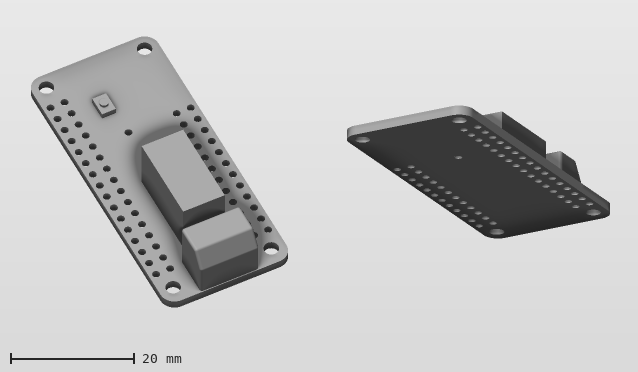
import cadquery as cq

BOARD_LENGTH = 51.2
BOARD_WIDTH = 22.8
BOARD_THICKNESS = 1.6
CORNER_RADIUS = 2.5
TOTAL_HEIGHT = 11.0

MOUNT_DIAMETER = 2.5
MOUNT_SPACING_X = 45.7
MOUNT_LEFT_X = CORNER_RADIUS - BOARD_LENGTH / 2
MOUNT_Y = BOARD_WIDTH / 2 - CORNER_RADIUS

PIN_DIAMETER = 1.3
PIN_COLUMNS_FRONT = 16
PIN_COLUMNS_BACK = 12
PIN_ROW_LENGTH = 38.1
PIN_PITCH = PIN_ROW_LENGTH / (PIN_COLUMNS_FRONT - 1)
PIN_FIRST_X = -19.1
PIN_OUTER_Y = 10.15
PIN_INNER_Y = PIN_OUTER_Y - PIN_PITCH
FIRST_BACK_COLUMN = PIN_COLUMNS_FRONT - PIN_COLUMNS_BACK
LONE_HOLE_Y = -1.15

RELAY_LENGTH = 15.0
RELAY_WIDTH = 7.55
RELAY_HEIGHT = TOTAL_HEIGHT - BOARD_THICKNESS
RELAY_CENTER_X = 8.55

TERMINAL_LEFT_X = 18.35
TERMINAL_DEPTH = 7.1
TERMINAL_WIDTH = 10.6
TERMINAL_HEIGHT = 8.5
SLOPE_RUN = 2.05
SLOPE_DROP = 3.0
TERMINAL_FILLET = 0.5

BUTTON_LENGTH = 3.6
BUTTON_WIDTH = 2.5
BUTTON_HEIGHT = 1.1
BUTTON_X = -15.2
BUTTON_Y = -2.4
PLUNGER_DIAMETER = 1.5
PLUNGER_HEIGHT = 0.45


def block_on_board(length, width, height, x, y):
    """Plain block standing on the board, centred on (x, y)."""
    return (
        cq.Workplane("XY", origin=(x, y, BOARD_THICKNESS))
        .box(length, width, height, centered=(True, True, False))
    )


def pin_hole_points():
    """Centres of every pin hole, plus the single one between the rows."""
    points = []
    for column in range(PIN_COLUMNS_FRONT):
        x = PIN_FIRST_X + column * PIN_PITCH
        for y in (PIN_OUTER_Y, PIN_INNER_Y):
            points.append((x, -y))
            if column >= FIRST_BACK_COLUMN:
                points.append((x, y))
    points.append((PIN_FIRST_X + FIRST_BACK_COLUMN * PIN_PITCH, LONE_HOLE_Y))
    return points


def make_board():
    """Rounded board with its mounting holes and pin holes cut through."""
    mount_points = [
        (x, y)
        for x in (MOUNT_LEFT_X, MOUNT_LEFT_X + MOUNT_SPACING_X)
        for y in (-MOUNT_Y, MOUNT_Y)
    ]
    blank = (
        cq.Workplane("XY")
        .box(BOARD_LENGTH, BOARD_WIDTH, BOARD_THICKNESS, centered=(True, True, False))
        .edges("|Z").fillet(CORNER_RADIUS)
    )
    return (
        blank.faces(">Z").workplane(origin=(0, 0, 0))
        .pushPoints(mount_points).hole(MOUNT_DIAMETER)
        .pushPoints(pin_hole_points()).hole(PIN_DIAMETER)
    )


def make_terminal():
    """Side profile with the slope, extruded across Y, all edges rounded but the foot."""
    right_x = TERMINAL_LEFT_X + TERMINAL_DEPTH
    top_z = BOARD_THICKNESS + TERMINAL_HEIGHT
    return (
        cq.Workplane("XZ")
        .moveTo(TERMINAL_LEFT_X, BOARD_THICKNESS)
        .lineTo(right_x, BOARD_THICKNESS)
        .lineTo(right_x, top_z - SLOPE_DROP)
        .lineTo(right_x - SLOPE_RUN, top_z)
        .lineTo(TERMINAL_LEFT_X, top_z)
        .close()
        .extrude(TERMINAL_WIDTH / 2, both=True)
        .edges("not <Z").fillet(TERMINAL_FILLET)
    )


def make_plunger():
    """Round plunger standing on the button base."""
    base_top = BOARD_THICKNESS + BUTTON_HEIGHT
    return (
        cq.Workplane("XY", origin=(BUTTON_X, BUTTON_Y, base_top))
        .circle(PLUNGER_DIAMETER / 2).extrude(PLUNGER_HEIGHT)
    )


board = make_board()
relay = block_on_board(RELAY_LENGTH, RELAY_WIDTH, RELAY_HEIGHT, RELAY_CENTER_X, 0)
terminal = make_terminal()
button_base = block_on_board(BUTTON_LENGTH, BUTTON_WIDTH, BUTTON_HEIGHT, BUTTON_X, BUTTON_Y)
plunger = make_plunger()

result = cq.Compound.makeCompound([
    board.val(),
    relay.val(),
    terminal.val(),
    button_base.val(),
    plunger.val(),
])